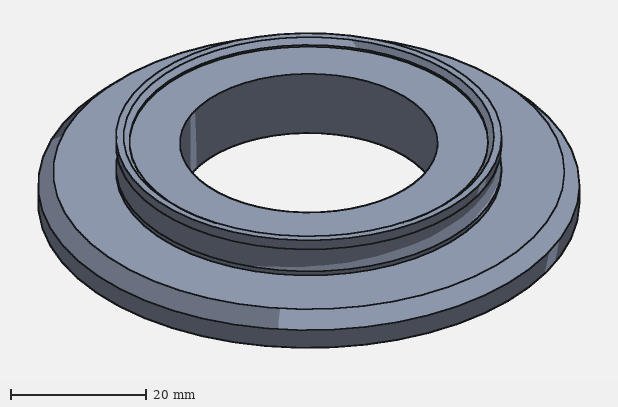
import cadquery as cq

flange_diameter = 80.0
flange_height = 5.4
flange_chamfer = 2.2

collar_diameter = 57.0
total_height = 11.5
groove_bottom = 6.1
groove_top = 9.9
groove_depth = 0.5

bore_diameter = 38.1
recess_top_diameter = 54.7
recess_floor_diameter = 53.0
recess_taper_height = 0.8
recess_depth = 1.1

flange_radius = flange_diameter / 2
collar_radius = collar_diameter / 2
bore_radius = bore_diameter / 2
recess_floor_z = total_height - recess_depth
groove_middle = (groove_bottom + groove_top) / 2

half_section = (
    cq.Workplane("XZ")
    .moveTo(bore_radius, 0)
    .lineTo(flange_radius, 0)
    .lineTo(flange_radius, flange_height - flange_chamfer)
    .lineTo(flange_radius - flange_chamfer, flange_height)
    .lineTo(collar_radius, flange_height)
    .lineTo(collar_radius, groove_bottom)
    .threePointArc((collar_radius - groove_depth, groove_middle), (collar_radius, groove_top))
    .lineTo(collar_radius, total_height)
    .lineTo(recess_top_diameter / 2, total_height)
    .lineTo(recess_floor_diameter / 2, total_height - recess_taper_height)
    .lineTo(recess_floor_diameter / 2, recess_floor_z)
    .lineTo(bore_radius, recess_floor_z)
    .close()
)

result = half_section.revolve(360, (0, 0, 0), (0, 1, 0))